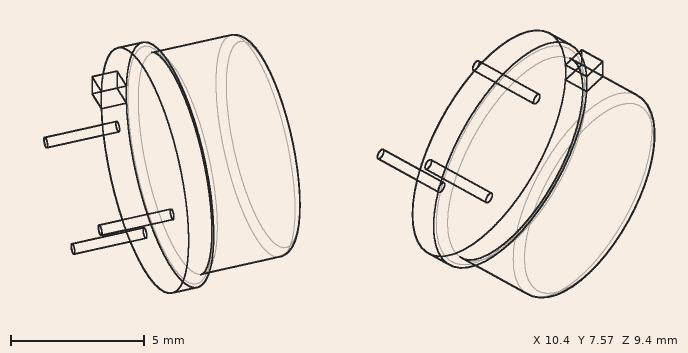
import cadquery as cq

flange_diameter = 9.4
flange_thickness = 1.0

can_diameter = 8.5
can_end_y = 4.7
can_edge_radius = 0.3
can_foot_radius = 0.3

pin_diameter = 0.4
pin_length = 2.87
pin_circle_radius = 2.92
pin_directions = [(-1, 0), (1, 0), (0, -1)]

tab_width = 0.8
tab_tip_reach = 5.68

flange_radius = flange_diameter / 2
can_radius = can_diameter / 2


def rod_along_y(diameter, start_y, end_y, x=0, z=0):
    """Round rod parallel to Y, from start_y up to end_y."""
    base = cq.Workplane("XZ", origin=(x, start_y, z))
    return base.circle(diameter / 2).extrude(start_y - end_y)


def make_package():
    """Flange, can and pins as one solid."""
    package = (
        cq.Workplane("XY")
        .lineTo(flange_radius, 0)
        .lineTo(flange_radius, flange_thickness)
        .lineTo(can_radius + can_foot_radius, flange_thickness)
        .radiusArc((can_radius, flange_thickness + can_foot_radius), can_foot_radius)
        .lineTo(can_radius, can_end_y - can_edge_radius)
        .radiusArc((can_radius - can_edge_radius, can_end_y), -can_edge_radius)
        .lineTo(0, can_end_y)
        .close()
        .revolve(360, (0, 0, 0), (0, 1, 0))
    )
    for x_step, z_step in pin_directions:
        pin_x = x_step * pin_circle_radius
        pin_z = z_step * pin_circle_radius
        package = package.union(rod_along_y(pin_diameter, -pin_length, 0, pin_x, pin_z))
    return package.solids()


def make_tab():
    """Index tab as thick as the flange, its inner end curved to seat on the flange rim."""
    bar = (
        cq.Workplane("XY", origin=(-tab_tip_reach, 0, -tab_width / 2))
        .rect(tab_tip_reach, flange_thickness, centered=False)
        .extrude(tab_width)
    )
    return bar.cut(rod_along_y(flange_diameter, 0, flange_thickness)).solids()


package = make_package()
tab = make_tab()

result = cq.Compound.makeCompound([package.val(), tab.val()])